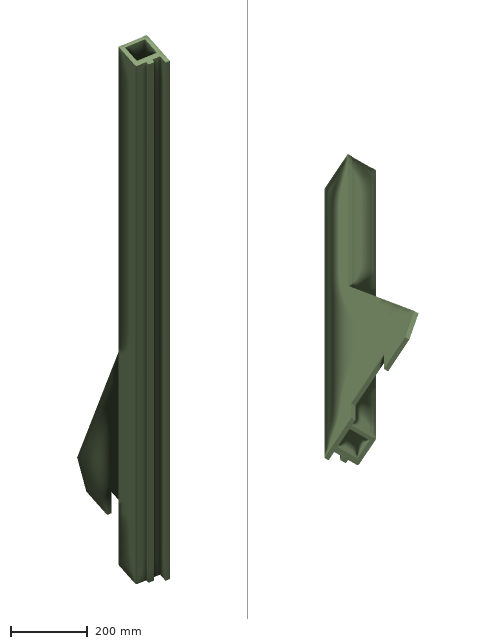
import cadquery as cq

height = 1842.0
overall_width = 445.0
overall_depth = 87.0

back_thickness = 13.0
column_left = 330.0
gusset_top = 940.0
foot_tip_height = 85.0
foot_heel = 46.0
notch_left = 151.0
notch_right = 313.0
notch_height = 100.0
groove_depth = 4.0

column_width = 88.0
left_wall_thickness = 11.0
right_wall_thickness = 17.0
front_thickness = 13.0
front_corner_radius = 4.8
lip = 1.0

strip_width = 11.0
strip_depth = 18.0
strip_front = 31.0
strip_corner_radius = 3.04

column_right = column_left + column_width
left_wall_x = column_left + lip
right_wall_x = column_right - right_wall_thickness
back_front_y = overall_depth - back_thickness
wall_depth = back_front_y + groove_depth - front_thickness


def upright(x, y, width, depth):
    """Full-height bar whose least X and Y corner is at (x, y)."""
    return cq.Workplane("XY").box(width, depth, height, centered=False).translate((x, y, 0))


def make_left_wall():
    return upright(left_wall_x, front_thickness, left_wall_thickness, wall_depth)


def make_right_wall():
    return upright(right_wall_x, front_thickness, right_wall_thickness, wall_depth)


def make_front_plate():
    """Cover of the column, with its outer right corner rounded."""
    plate = upright(column_left, 0, column_width, front_thickness)
    return plate.faces("<Y").edges(">X").fillet(front_corner_radius)


def make_guide_strip():
    """Bar along the right wall, with its outer corners rounded."""
    strip = upright(column_right, strip_front, strip_width, strip_depth)
    return strip.faces(">X").edges("|Z").fillet(strip_corner_radius)


def make_back_plate(walls):
    """Plate with a notched gusset foot, grooved to seat the given walls."""
    outline = [
        (overall_width, 0),
        (overall_width, height),
        (column_left, height),
        (column_left, gusset_top),
        (0, foot_tip_height),
        (foot_heel, 0),
        (notch_left, 0),
        (notch_left, notch_height),
        (notch_right, notch_height),
        (notch_right, 0),
    ]
    plate = cq.Workplane("XZ", origin=(0, overall_depth, 0)).polyline(outline).close().extrude(back_thickness)
    for wall in walls:
        plate = plate.cut(wall)
    return plate


left_wall = make_left_wall()
right_wall = make_right_wall()
front_plate = make_front_plate()
back_plate = make_back_plate([left_wall, right_wall])
guide_strip = make_guide_strip()

result = cq.Compound.makeCompound([
    back_plate.val(),
    left_wall.val(),
    right_wall.val(),
    front_plate.val(),
    guide_strip.val(),
])